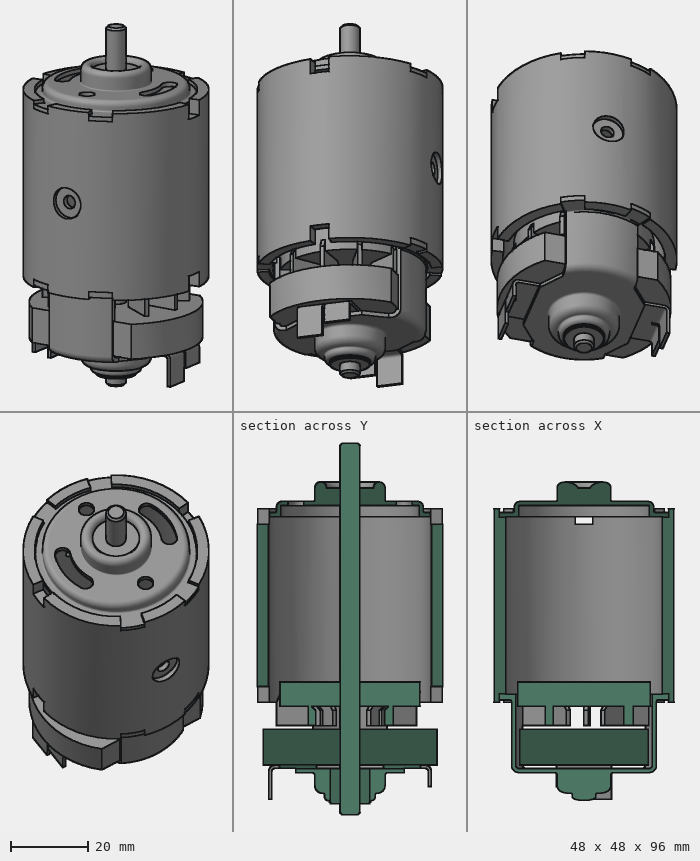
import cadquery as cq
import math

shaft_radius = 2.6
shaft_length = 96.0
shaft_chamfer = 0.6

housing_radius = 24.0
housing_bore_radius = 21.0
housing_bottom = 29.1
housing_top = 79.1
mount_bore_radius = 4.1
mount_bore_depth = 1.4
mount_hole_radius = 1.7
side_notch_depth = 4.0
side_notch_half_angle = 6.1

ear_start_angle = 15.0
ear_end_angle = 30.0
flange_radius = 20.8
stake_notch_depth = 2.1

cap_radius = 19.0
cap_top = 81.0
cap_edge_fillet = 1.5
cap_foot_fillet = 0.5
cap_thickness = 1.2
cap_flange_thickness = 1.2
boss_radius = 9.1
boss_top = 86.0
boss_rim_width = 3.1
boss_foot_fillet = 0.3
vent_circle_radius = 14.0
vent_radius = 2.0
vent_half_angle = 22.5

strap_half_width = 9.6
bracket_radius = 19.7
bracket_thickness = 1.2
bracket_bottom = 10.8
bracket_bend_radius = 2.0
bracket_flange_thickness = 1.5
arm_foot_fillet = 0.4
plate_half_length = 14.0
plate_side_half_width = 8.1
hub_radius = 9.1
hub_foot_fillet = 0.6
hub_fillet = 2.0
collar_foot_fillet = 0.3
hub_bottom = 5.6
collar_radius = 6.6
collar_fillet = 1.2
collar_bottom = 3.6

bearing_radius = 5.1
bearing_bottom = 2.9
bearing_shoulder_radius = 5.4
bearing_shoulder_height = 0.4

terminal_thickness = 0.9
terminal_reach = 21.0
terminal_inner_end = 8.6
terminal_half_width = 7.1
terminal_bend_radius = 1.6
terminal_slit_width = 0.7
terminal_slit_end = 18.2
long_tab_bottom = 4.0
short_tab_bottom = 7.3

brush_plate_radius = 22.5
brush_plate_half_width = 16.6
brush_plate_thickness = 9.3

fan_disc_radius = 18.1
fan_disc_bottom = 28.0
fan_disc_thickness = 6.3
blade_count = 12
blade_offset_angle = 3.0
blade_thickness = 1.2
blade_inner_radius = 8.8
blade_outer_radius = 19.0
blade_bottom = 23.0
blade_top = 31.1
blade_chamfer = 1.1
blade_taper_start = 29.1
blade_arm_clearance = 0.1

cut_margin = 1.0
level_margin = 0.1

cap_flange_bottom = housing_top - stake_notch_depth
cap_flange_top = cap_flange_bottom + cap_flange_thickness
bracket_flange_top = housing_bottom + stake_notch_depth
bracket_flange_bottom = bracket_flange_top - bracket_flange_thickness
bracket_inner_radius = bracket_radius - bracket_thickness
plate_top = bracket_bottom + bracket_thickness
brush_plate_bottom = plate_top + terminal_thickness


def cylinder(radius, bottom, top):
    return cq.Workplane("XY").workplane(offset=bottom).circle(radius).extrude(top - bottom)


def ring(outer_radius, inner_radius, bottom, top):
    outline = cq.Workplane("XY").workplane(offset=bottom).circle(outer_radius).circle(inner_radius)
    return outline.extrude(top - bottom)


def polar(radius, angle):
    turn = math.radians(angle)
    return radius * math.cos(turn), radius * math.sin(turn)


def ring_sector(outer_radius, inner_radius, start_angle, end_angle, bottom, top):
    middle_angle = (start_angle + end_angle) / 2
    return (
        cq.Workplane("XY")
        .workplane(offset=bottom)
        .moveTo(*polar(inner_radius, start_angle))
        .lineTo(*polar(outer_radius, start_angle))
        .threePointArc(polar(outer_radius, middle_angle), polar(outer_radius, end_angle))
        .lineTo(*polar(inner_radius, end_angle))
        .threePointArc(polar(inner_radius, middle_angle), polar(inner_radius, start_angle))
        .close()
        .extrude(top - bottom)
    )


def ear_sectors(outer_radius, inner_radius, bottom, top):
    """Four sectors, one on either side of the Y axis at both +Y and -Y."""
    sectors = []
    for axis_angle in (90, 270):
        for start in (ear_start_angle, -ear_end_angle):
            first = axis_angle + start
            last = first + ear_end_angle - ear_start_angle
            sectors.append(ring_sector(outer_radius, inner_radius, first, last, bottom, top))
    return sectors


def edges_at_level(radius, level):
    """Selects the edges that lie at one height, no farther than the radius from the Z axis."""
    reach = radius + level_margin
    return cq.selectors.BoxSelector(
        (-reach, -reach, level - level_margin),
        (reach, reach, level + level_margin),
        boundingbox=True,
    )


def make_shaft():
    return cylinder(shaft_radius, 0, shaft_length).faces("<Z or >Z").chamfer(shaft_chamfer)


def make_housing():
    body = ring(housing_radius, housing_bore_radius, housing_bottom, housing_top)
    overcut_radius = housing_radius + cut_margin
    undercut_radius = housing_bore_radius - cut_margin

    for end, inward in ((housing_bottom, 1), (housing_top, -1)):
        stake_low, stake_high = sorted((end, end + inward * stake_notch_depth))
        side_low, side_high = sorted((end, end + inward * side_notch_depth))
        for notch in ear_sectors(overcut_radius, undercut_radius, stake_low, stake_high):
            body = body.cut(notch)
        for middle in (0, 180):
            first = middle - side_notch_half_angle
            last = middle + side_notch_half_angle
            body = body.cut(
                ring_sector(overcut_radius, undercut_radius, first, last, side_low, side_high)
            )

    middle_height = (housing_bottom + housing_top) / 2
    bore_floor = housing_radius - mount_bore_depth
    for side in (-1, 1):
        wall_plane = cq.Plane(origin=(0, 0, middle_height), xDir=(1, 0, 0), normal=(0, side, 0))
        hole = cq.Workplane(wall_plane).circle(mount_hole_radius).extrude(housing_radius)
        counterbore = (
            cq.Workplane(wall_plane)
            .workplane(offset=bore_floor)
            .circle(mount_bore_radius)
            .extrude(mount_bore_depth)
        )
        body = body.cut(hole).cut(counterbore)
    return body


def make_cap():
    flange = cylinder(flange_radius, cap_flange_bottom, cap_flange_top)
    dome = cylinder(cap_radius, cap_flange_top, cap_top).faces(">Z").edges().fillet(cap_edge_fillet)
    body = flange.union(dome)
    body = body.edges(edges_at_level(cap_radius, cap_flange_top)).fillet(cap_foot_fillet)
    body = body.cut(cylinder(cap_radius - cap_thickness, cap_flange_bottom, cap_top - cap_thickness))

    rim_radius = boss_rim_width / 2
    rim_foot = boss_top - rim_radius
    sunken_radius = boss_radius - boss_rim_width
    boss = (
        cq.Workplane("XZ")
        .moveTo(0, cap_top - cap_thickness)
        .lineTo(boss_radius, cap_top - cap_thickness)
        .lineTo(boss_radius, rim_foot)
        .threePointArc((boss_radius - rim_radius, boss_top), (sunken_radius, rim_foot))
        .lineTo(0, rim_foot)
        .close()
        .revolve(360, (0, 0, 0), (0, 1, 0))
    )
    body = body.union(boss)
    body = body.edges(edges_at_level(boss_radius, cap_top)).fillet(boss_foot_fillet)

    vent_floor = cap_top - cap_thickness
    for side in (-1, 1):
        vent = cylinder(vent_radius, vent_floor, cap_top)
        body = body.cut(vent.translate((0, side * vent_circle_radius, 0)))
    for middle in (0, 180):
        slot = ring_sector(
            vent_circle_radius + vent_radius,
            vent_circle_radius - vent_radius,
            middle - vent_half_angle,
            middle + vent_half_angle,
            vent_floor,
            cap_top,
        )
        body = body.cut(slot)
        for end_angle in (middle - vent_half_angle, middle + vent_half_angle):
            end_x, end_y = polar(vent_circle_radius, end_angle)
            body = body.cut(cylinder(vent_radius, vent_floor, cap_top).translate((end_x, end_y, 0)))

    for ear in ear_sectors(housing_radius, cap_radius, cap_flange_bottom, cap_flange_top):
        body = body.union(ear)
    return body.cut(cylinder(shaft_radius, cap_flange_bottom, boss_top))


def make_bracket():
    cup = cylinder(bracket_radius, bracket_bottom, bracket_flange_top)
    cup = cup.faces("<Z").edges().fillet(bracket_bend_radius)
    hollow = cylinder(bracket_inner_radius, plate_top, bracket_flange_top)
    hollow = hollow.faces("<Z").edges().fillet(bracket_bend_radius - bracket_thickness)
    cup = cup.cut(hollow)
    height = bracket_flange_top - bracket_bottom
    trim_plane = cq.Workplane("XY").workplane(offset=bracket_bottom)
    strap = trim_plane.rect(2 * strap_half_width, 2 * bracket_radius).extrude(height)
    plate = (
        trim_plane.moveTo(plate_half_length, -plate_side_half_width)
        .lineTo(plate_half_length, plate_side_half_width)
        .lineTo(strap_half_width, plate_half_length)
        .lineTo(-strap_half_width, plate_half_length)
        .lineTo(-plate_half_length, plate_side_half_width)
        .lineTo(-plate_half_length, -plate_side_half_width)
        .lineTo(-strap_half_width, -plate_half_length)
        .lineTo(strap_half_width, -plate_half_length)
        .close()
        .extrude(bracket_thickness)
    )
    body = cup.intersect(strap.union(plate))

    for axis_angle in (90, 270):
        flange = ring_sector(
            flange_radius,
            bracket_inner_radius,
            axis_angle - ear_end_angle,
            axis_angle + ear_end_angle,
            bracket_flange_bottom,
            bracket_flange_top,
        )
        body = body.union(flange)
    arm_edges = body.edges(edges_at_level(bracket_radius, bracket_flange_bottom))
    arm_roots = arm_edges.edges("%CIRCLE").edges(cq.selectors.RadiusNthSelector(-1))
    body = arm_roots.fillet(arm_foot_fillet)
    for ear in ear_sectors(housing_radius, bracket_radius, bracket_flange_bottom, bracket_flange_top):
        body = body.union(ear)

    foot_radius = hub_radius + hub_foot_fillet
    bend = 1 - math.sqrt(0.5)
    hub = (
        cq.Workplane("XZ")
        .moveTo(bearing_radius, plate_top)
        .lineTo(bearing_radius, collar_bottom)
        .lineTo(collar_radius - collar_fillet, collar_bottom)
        .threePointArc(
            (collar_radius - bend * collar_fillet, collar_bottom + bend * collar_fillet),
            (collar_radius, collar_bottom + collar_fillet),
        )
        .lineTo(collar_radius, hub_bottom - collar_foot_fillet)
        .threePointArc(
            (collar_radius + bend * collar_foot_fillet, hub_bottom - bend * collar_foot_fillet),
            (collar_radius + collar_foot_fillet, hub_bottom),
        )
        .lineTo(hub_radius - hub_fillet, hub_bottom)
        .threePointArc(
            (hub_radius - bend * hub_fillet, hub_bottom + bend * hub_fillet),
            (hub_radius, hub_bottom + hub_fillet),
        )
        .lineTo(hub_radius, bracket_bottom - hub_foot_fillet)
        .threePointArc(
            (hub_radius + bend * hub_foot_fillet, bracket_bottom - bend * hub_foot_fillet),
            (foot_radius, bracket_bottom),
        )
        .lineTo(foot_radius, plate_top)
        .close()
        .revolve(360, (0, 0, 0), (0, 1, 0))
    )
    return body.union(hub).cut(cylinder(bearing_radius, bracket_bottom, plate_top))


def make_bearing():
    sleeve = ring(bearing_radius, shaft_radius, bearing_bottom, plate_top)
    shoulder_bottom = collar_bottom - bearing_shoulder_height
    return sleeve.union(ring(bearing_shoulder_radius, shaft_radius, shoulder_bottom, collar_bottom))


def make_brush_plate(bracket):
    top = brush_plate_bottom + brush_plate_thickness
    flats = (
        cq.Workplane("XY")
        .workplane(offset=brush_plate_bottom)
        .rect(2 * brush_plate_radius, 2 * brush_plate_half_width)
        .extrude(brush_plate_thickness)
    )
    disc = ring(brush_plate_radius, shaft_radius, brush_plate_bottom, top)
    return disc.intersect(flats).cut(bracket)


def make_fan():
    disc_top = fan_disc_bottom + fan_disc_thickness
    body = cylinder(fan_disc_radius, fan_disc_bottom, disc_top)
    arm_half_angle = math.degrees(math.asin(strap_half_width / bracket_inner_radius))
    for index in range(blade_count):
        angle = 180 - blade_offset_angle + index * 360 / blade_count
        angle_from_y = math.degrees(math.asin(abs(math.cos(math.radians(angle)))))
        under_arm = angle_from_y < arm_half_angle
        tip_radius = bracket_inner_radius - blade_arm_clearance if under_arm else blade_outer_radius
        blade = (
            cq.Workplane("XZ")
            .moveTo(blade_inner_radius, blade_bottom)
            .lineTo(tip_radius, blade_bottom)
            .lineTo(tip_radius, blade_taper_start)
            .lineTo(fan_disc_radius, blade_top)
            .lineTo(blade_inner_radius + blade_chamfer, blade_top)
            .lineTo(blade_inner_radius + blade_chamfer, fan_disc_bottom)
            .lineTo(blade_inner_radius, fan_disc_bottom - blade_chamfer)
            .close()
            .extrude(blade_thickness / 2, both=True)
        )
        body = body.union(blade.rotate((0, 0, 0), (0, 0, 1), angle))
    return body.cut(cylinder(shaft_radius, fan_disc_bottom, disc_top))


def make_terminal(turn):
    inner_bend_radius = terminal_bend_radius - terminal_thickness
    bend_x = -terminal_reach + terminal_bend_radius
    bend_z = brush_plate_bottom - terminal_bend_radius
    diagonal = math.sqrt(0.5)
    strip = (
        cq.Workplane("XZ")
        .moveTo(-terminal_inner_end, plate_top)
        .lineTo(-terminal_inner_end, brush_plate_bottom)
        .lineTo(bend_x, brush_plate_bottom)
        .threePointArc(
            (bend_x - diagonal * terminal_bend_radius, bend_z + diagonal * terminal_bend_radius),
            (-terminal_reach, bend_z),
        )
        .lineTo(-terminal_reach, long_tab_bottom)
        .lineTo(-terminal_reach + terminal_thickness, long_tab_bottom)
        .lineTo(-terminal_reach + terminal_thickness, bend_z)
        .threePointArc(
            (bend_x - diagonal * inner_bend_radius, bend_z + diagonal * inner_bend_radius),
            (bend_x, plate_top),
        )
        .close()
        .extrude(terminal_half_width, both=True)
    )

    slit_length = terminal_reach - terminal_slit_end
    height = brush_plate_bottom - long_tab_bottom
    slit = cq.Workplane("XY").box(
        slit_length, terminal_slit_width, height, centered=(False, True, False)
    )
    shortening = cq.Workplane("XY").box(
        slit_length,
        terminal_half_width,
        short_tab_bottom - long_tab_bottom,
        centered=False,
    )
    strip = strip.cut(slit.translate((-terminal_reach, 0, long_tab_bottom)))
    strip = strip.cut(shortening.translate((-terminal_reach, -terminal_half_width, long_tab_bottom)))
    return strip.rotate((0, 0, 0), (0, 0, 1), turn)


shaft = make_shaft()
housing = make_housing()
cap = make_cap()
bracket = make_bracket()
bearing = make_bearing()
brush_plate = make_brush_plate(bracket)
fan = make_fan()
terminals = [make_terminal(turn) for turn in (0, 180)]

bodies = [shaft, housing, cap, bracket, bearing, brush_plate, fan, *terminals]
result = cq.Compound.makeCompound([body.solids().val() for body in bodies])